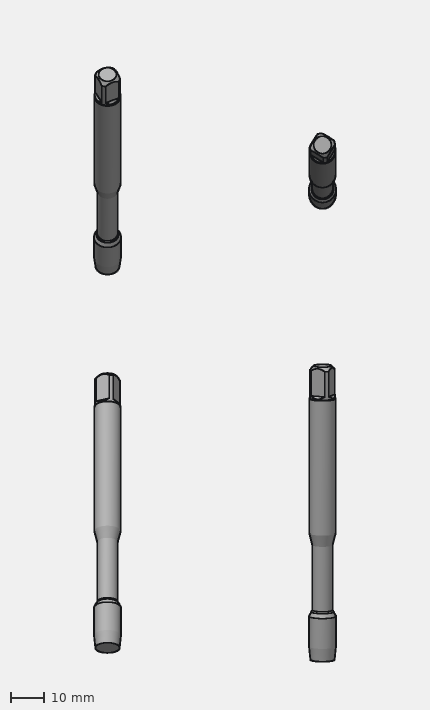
import cadquery as cq

total_length = 90.1
shank_diameter = 8.0
neck_diameter = 6.2
square_width = 6.2
square_corner_diameter = 7.7
thread_diameter = 8.2
lead_tip_diameter = 7.4

lead_top = 4.05
thread_top = 13.3
head_top = 14.7
head_shoulder_top = 15.2
neck_top = 35.1
shank_bottom = 38.7
square_bottom = 80.2
flat_bottom = 81.2

shank_chamfer = (shank_diameter - square_corner_diameter) / 2
top_chamfer = 1.2
flat_runout = 1.0

shoulder_slope = (thread_diameter - neck_diameter) / (head_shoulder_top - thread_top)
joint_diameter = neck_diameter + shoulder_slope * (head_shoulder_top - head_top)


def revolve_profile(stations):
    """Turn (diameter, height) stations into a solid of revolution about Z."""
    first_height = stations[0][1]
    last_height = stations[-1][1]
    outline = [(0, first_height)]
    outline += [(diameter / 2, height) for diameter, height in stations]
    outline.append((0, last_height))
    return cq.Workplane("XZ").polyline(outline).close().revolve(360, (0, 0), (0, 1))


def make_flat_cutter():
    """Tool that cuts the -Y flat, with a sloped runout at its lower end."""
    flat_y = -square_width / 2
    outer_y = flat_y - flat_runout
    return (
        cq.Workplane("YZ")
        .moveTo(flat_y, total_length)
        .lineTo(flat_y, flat_bottom)
        .lineTo(outer_y, flat_bottom - flat_runout)
        .lineTo(outer_y, total_length)
        .close()
        .extrude(shank_diameter, both=True)
    )


def make_cutting_head():
    """Threaded head without thread detail: tapered lead, cylinder and shoulder."""
    return revolve_profile([
        (lead_tip_diameter, 0),
        (thread_diameter, lead_top),
        (thread_diameter, thread_top),
        (joint_diameter, head_top),
    ])


def make_shank():
    """Neck, shank and drive square in one piece."""
    shank = revolve_profile([
        (joint_diameter, head_top),
        (neck_diameter, head_shoulder_top),
        (neck_diameter, neck_top),
        (shank_diameter, shank_bottom),
        (shank_diameter, square_bottom - shank_chamfer),
        (square_corner_diameter, square_bottom),
        (square_corner_diameter, total_length - top_chamfer),
        (square_corner_diameter - 2 * top_chamfer, total_length),
    ])
    flat_cutter = make_flat_cutter()
    for angle in (0, 90, 180, 270):
        shank = shank.cut(flat_cutter.rotate((0, 0, 0), (0, 0, 1), angle))
    return shank


cutting_head = make_cutting_head()
shank = make_shank()

result = cq.Compound.makeCompound([cutting_head.val(), shank.val()])